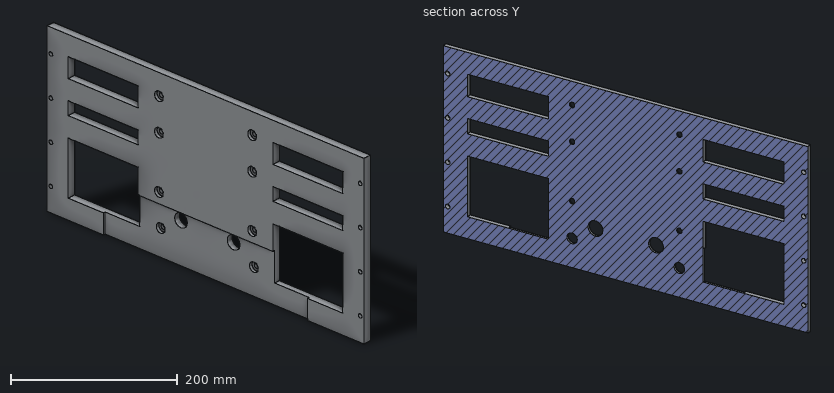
import cadquery as cq

width = 511.0
thickness = 12.0
height = 252.0

recess_width = 329.0
recess_height = 74.0
recess_depth = 3.0

window_side_margin = 34.0
window_width = 112.5
window_spans = [(30.0, 111.5), (142.0, 162.0), (192.0, 222.0)]
window_center_x = width / 2 - window_side_margin - window_width / 2

edge_hole_diameter = 5.5
edge_hole_inset = 6.0
edge_hole_pitch = 60.0
edge_hole_count = 4

screw_hole_diameter = 6.5
counterbore_diameter = 14.0
counterbore_depth = 4.5
screw_column_x = 75.0
screw_heights = [40.0, 90.0, 170.0, 219.5]

large_hole_diameter = 20.0
large_hole_x = 42.5
large_hole_height = 62.0


def front_block(block_width, depth, bottom, top, center_x=0.0):
    """Block reaching back from the front face by the given depth."""
    block = cq.Workplane("XY").box(block_width, depth, top - bottom, centered=(True, False, False))
    return block.translate((center_x, 0, bottom))


def front_cylinders(diameter, depth, points):
    """Cylinders reaching back from the front face at (x, z) points."""
    return cq.Workplane("XZ").pushPoints(points).circle(diameter / 2).extrude(-depth)


def mirrored_points(x, heights):
    """Points at each height on both the left and the right side."""
    return [(side * x, z) for side in (-1, 1) for z in heights]


panel = front_block(width, thickness, 0, height)
panel = panel.cut(front_block(recess_width, recess_depth, 0, recess_height))

for side in (-1, 1):
    for bottom, top in window_spans:
        panel = panel.cut(front_block(window_width, thickness, bottom, top, side * window_center_x))

first_edge_hole = height / 2 - edge_hole_pitch * (edge_hole_count - 1) / 2
edge_hole_heights = [first_edge_hole + i * edge_hole_pitch for i in range(edge_hole_count)]
edge_points = mirrored_points(width / 2 - edge_hole_inset, edge_hole_heights)
panel = panel.cut(front_cylinders(edge_hole_diameter, thickness, edge_points))

for screw_height in screw_heights:
    screw_points = mirrored_points(screw_column_x, [screw_height])
    surface_depth = recess_depth if screw_height < recess_height else 0
    panel = panel.cut(front_cylinders(screw_hole_diameter, thickness, screw_points))
    panel = panel.cut(front_cylinders(counterbore_diameter, surface_depth + counterbore_depth, screw_points))

large_points = mirrored_points(large_hole_x, [large_hole_height])
panel = panel.cut(front_cylinders(large_hole_diameter, thickness, large_points))

result = panel